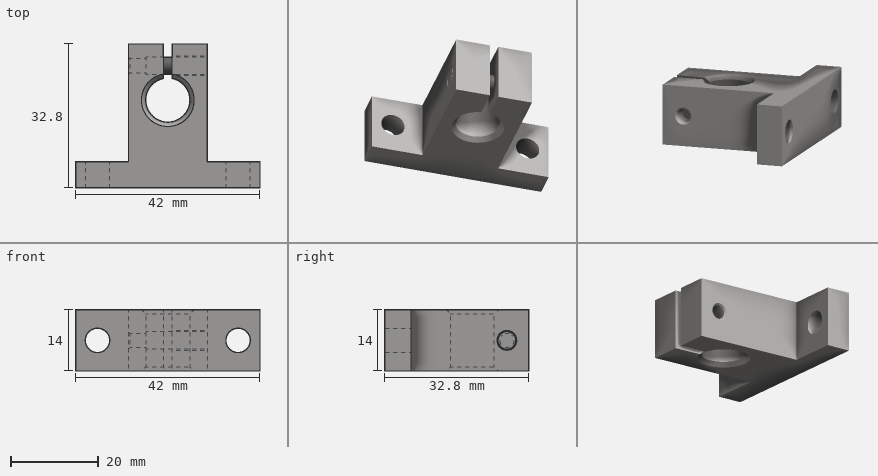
import cadquery as cq

flange_length = 42.0
flange_thickness = 6.0
upright_width = 18.0
overall_depth = 32.8
height = 14.0
mid_height = height / 2

mount_hole_diameter = 5.5
mount_hole_spacing = 32.0

bore_diameter = 10.0
bore_y = 20.0
bore_chamfer = 1.0
slot_width = 2.0

screw_diameter = 4.0
screw_end_distance = 5.0
screw_y = overall_depth - screw_end_distance
screw_engagement = 4.0
screw_tip_x = -slot_width / 2 - screw_engagement
clearance_diameter = 4.5
thread_hole_diameter = 3.24
thread_chamfer = (screw_diameter - thread_hole_diameter) / 2


def make_screw():
    """Plain round screw from its tip to the +X face of the upright."""
    return (
        cq.Workplane("YZ", origin=(screw_tip_x, screw_y, mid_height))
        .circle(screw_diameter / 2)
        .extrude(upright_width / 2 - screw_tip_x)
    )


def make_t_block():
    flange = cq.Workplane("XY").box(flange_length, flange_thickness, height, centered=(True, False, False))
    upright = cq.Workplane("XY").box(upright_width, overall_depth, height, centered=(True, False, False))
    return flange.union(upright)


def make_mount_holes():
    half_spacing = mount_hole_spacing / 2
    return (
        cq.Workplane("XZ", origin=(0, 0, mid_height))
        .pushPoints([(-half_spacing, 0), (half_spacing, 0)])
        .circle(mount_hole_diameter / 2)
        .extrude(-flange_thickness)
    )


def make_bore():
    """Half section of the chamfered bore, turned about its axis."""
    radius = bore_diameter / 2
    mouth_radius = radius + bore_chamfer
    return (
        cq.Workplane("XZ", origin=(0, bore_y, 0))
        .moveTo(0, 0)
        .lineTo(mouth_radius, 0)
        .lineTo(radius, bore_chamfer)
        .lineTo(radius, height - bore_chamfer)
        .lineTo(mouth_radius, height)
        .lineTo(0, height)
        .close()
        .revolve(360, (0, 0, 0), (0, 1, 0))
    )


def make_slot():
    return (
        cq.Workplane("XY", origin=(0, bore_y, 0))
        .box(slot_width, overall_depth - bore_y, height, centered=(True, False, False))
    )


def make_thread_hole():
    """Half section of the hole from the -X face to the screw tip, with its chamfered mouth."""
    radius = thread_hole_diameter / 2
    face_x = -upright_width / 2
    return (
        cq.Workplane("XY", origin=(0, screw_y, mid_height))
        .moveTo(face_x, 0)
        .lineTo(face_x, radius + thread_chamfer)
        .lineTo(face_x + thread_chamfer, radius)
        .lineTo(screw_tip_x, radius)
        .lineTo(screw_tip_x, 0)
        .close()
        .revolve(360, (0, 0, 0), (1, 0, 0))
    )


def make_clearance_hole():
    slot_wall_x = slot_width / 2
    return (
        cq.Workplane("YZ", origin=(slot_wall_x, screw_y, mid_height))
        .circle(clearance_diameter / 2)
        .extrude(upright_width / 2 - slot_wall_x)
    )


def make_support():
    return (
        make_t_block()
        .cut(make_mount_holes())
        .cut(make_bore())
        .cut(make_slot())
        .cut(make_thread_hole())
        .cut(make_clearance_hole())
        .cut(make_screw())
    )


support = make_support()
clamp_screw = make_screw()

result = cq.Compound.makeCompound([support.val(), clamp_screw.val()])